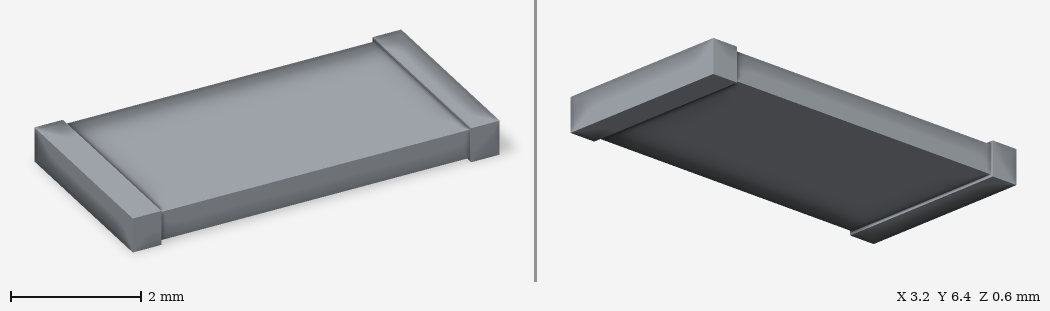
import cadquery as cq

length = 6.4
cap_width = 3.2
cap_height = 0.6
cap_length = 0.5
cap_wall = 0.05

body_width = cap_width - 2 * cap_wall
body_height = cap_height - 2 * cap_wall
cap_offset = (length - cap_length) / 2

result = cq.Workplane("XY").box(body_width, length, body_height)

for side in (-1, 1):
    cap = cq.Workplane("XY").box(cap_width, cap_length, cap_height)
    result = result.union(cap.translate((0, side * cap_offset, 0)))